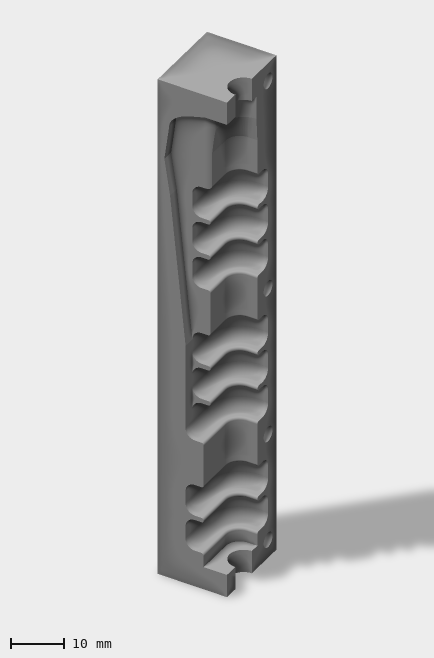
import cadquery as cq
import math

width, depth, height = 15.0, 18.0, 112.0
end_wall = 5.0

axis_y = 6.0
flat_floor = 2.0
corner_x = width - flat_floor
corner_y = axis_y + flat_floor
channel_radius = 3.0
pocket_radius = 7.0

pocket_height = 7.0
pocket_pitch = 8.0
pocket_round = 2.0
pocket_groups = [(11.5, 2), (36.5, 3), (69.5, 3)]
mouth_round = (pocket_pitch - pocket_height) / 2

seat_radius = 4.7
seat_length = 5.0
blend_length = 5.0
seat_top = height - end_wall
seat_bottom = seat_top - seat_length
channel_top = seat_bottom - blend_length
seat_seam_x = 13.3

recess_depth = 2.5
recess_edge_round = 1.6
leaf_peak = (6.6, 106.0)
leaf_shoulder = [(4.3, 104.8), (2.9, 103.5), (2.5, 101.9)]
leaf_tip = (1.5, 94.5)
leaf_belly = [(1.9, 91.4), (2.7, 86.6)]
leaf_foot = (6.0, 53.8)

bore_radius = 3.0
hole_diameter = 3.2
hole_y = 15.0
hole_heights = [4.0, 28.0, 61.0, 108.0]

DIAGONAL = math.sqrt(0.5)


def cavity_profile(plane, inner_side):
    """Half section of channel and pockets; local x is minus the distance from the corner axis."""
    bulge = pocket_round * (1 - DIAGONAL)
    lip = mouth_round * (1 - DIAGONAL)
    wall = -channel_radius
    floor = -pocket_radius
    sketch = cq.Workplane(plane).moveTo(inner_side, end_wall).lineTo(wall, end_wall)
    for lowest, count in pocket_groups:
        sketch = sketch.lineTo(wall, lowest - pocket_height / 2 - mouth_round)
        for index in range(count):
            centre = lowest + index * pocket_pitch
            low = centre - pocket_height / 2
            high = centre + pocket_height / 2
            sketch = (
                sketch.threePointArc((wall - lip, low - lip), (wall - mouth_round, low))
                .lineTo(floor + pocket_round, low)
                .threePointArc((floor + bulge, low + bulge), (floor, low + pocket_round))
                .lineTo(floor, high - pocket_round)
                .threePointArc((floor + bulge, high - bulge), (floor + pocket_round, high))
                .lineTo(wall - mouth_round, high)
                .threePointArc((wall - lip, high + lip), (wall, high + mouth_round))
            )
    return sketch.lineTo(wall, channel_top).lineTo(inner_side, channel_top).close()


def channel_and_pockets():
    """The half section swept straight to the front, round the corner, and straight to +X."""
    corner_axis = (corner_x, corner_y, 0)
    facing_front = cq.Plane(origin=corner_axis, xDir=(1, 0, 0), normal=(0, -1, 0))
    facing_side = cq.Plane(origin=corner_axis, xDir=(0, -1, 0), normal=(-1, 0, 0))
    straight = cavity_profile(facing_front, flat_floor).extrude(corner_y)
    corner = cavity_profile(facing_front, 0).revolve(90, (0, 0, 0), (0, -1, 0))
    side = cavity_profile(facing_side, 0).extrude(-flat_floor)
    return straight.union(corner).union(side)


def rounded_section(sketch, radius, centre_x, centre_y, seam_x):
    """Open-fronted section with a round corner; the wall is split where x = seam_x."""
    def on_arc(x):
        return (x, centre_y + math.sqrt(max(radius**2 - (x - centre_x) ** 2, 0)))

    left = centre_x - radius
    sketch = (
        sketch.moveTo(width, 0)
        .lineTo(left, 0)
        .lineTo(left, centre_y)
        .threePointArc(on_arc((left + seam_x) / 2), on_arc(seam_x))
    )
    end = (width, centre_y + radius)
    if seam_x < centre_x:
        sketch = sketch.threePointArc(on_arc((seam_x + width) / 2), end)
    else:
        sketch = sketch.lineTo(*end)
    return sketch.close()


def seat_and_blend():
    seat_plane = cq.Workplane("XY").workplane(offset=seat_bottom)
    seat = rounded_section(seat_plane, seat_radius, width, axis_y, seat_seam_x).extrude(seat_length)
    blend = cq.Workplane("XY").workplane(offset=channel_top)
    blend = rounded_section(blend, channel_radius, corner_x, corner_y, corner_x)
    blend = blend.workplane(offset=blend_length)
    blend = rounded_section(blend, seat_radius, width, axis_y, seat_seam_x).loft(ruled=True)
    return seat.union(blend)


def leaf_prism(leaf_depth):
    """Leaf outline cut to the given depth; it ends inside the lowest pocket of the middle group."""
    foot_z = pocket_groups[1][0]
    return (
        cq.Workplane("XZ")
        .moveTo(width, foot_z)
        .lineTo(leaf_foot[0], foot_z)
        .lineTo(*leaf_foot)
        .lineTo(*leaf_belly[-1])
        .spline([leaf_belly[0], leaf_tip], includeCurrent=True)
        .lineTo(*leaf_shoulder[-1])
        .spline([leaf_shoulder[1], leaf_shoulder[0], leaf_peak], includeCurrent=True)
        .lineTo(width - seat_radius, seat_top)
        .lineTo(width, seat_top)
        .close()
        .extrude(-leaf_depth)
    )


def recess_edge():
    """Rounds the edge between the recess floor and the cavity wall above the top pocket."""
    lowest, count = pocket_groups[-1]
    bottom = lowest + (count - 1) * pocket_pitch
    wall_x = width - seat_radius
    start_x = wall_x - recess_edge_round
    end_y = recess_depth + recess_edge_round
    middle = (start_x + recess_edge_round * DIAGONAL, end_y - recess_edge_round * DIAGONAL)
    strip = (
        cq.Workplane("XY")
        .workplane(offset=bottom)
        .moveTo(start_x, recess_depth)
        .threePointArc(middle, (wall_x, end_y))
        .lineTo(wall_x, recess_depth)
        .close()
        .extrude(seat_top - bottom)
    )
    return strip.intersect(leaf_prism(end_y))


def end_bores():
    bores = cq.Workplane("XY")
    for bottom in (0, seat_top):
        wall = cq.Workplane("XY").workplane(offset=bottom).center(width, axis_y)
        bores = bores.union(wall.circle(bore_radius).extrude(end_wall))
    return bores


def cross_holes():
    centres = [(hole_y, z) for z in hole_heights]
    return cq.Workplane("YZ").pushPoints(centres).circle(hole_diameter / 2).extrude(width)


result = (
    cq.Workplane("XY")
    .box(width, depth, height, centered=False)
    .cut(channel_and_pockets())
    .cut(seat_and_blend())
    .cut(leaf_prism(recess_depth))
    .cut(recess_edge())
    .cut(end_bores())
    .cut(cross_holes())
)